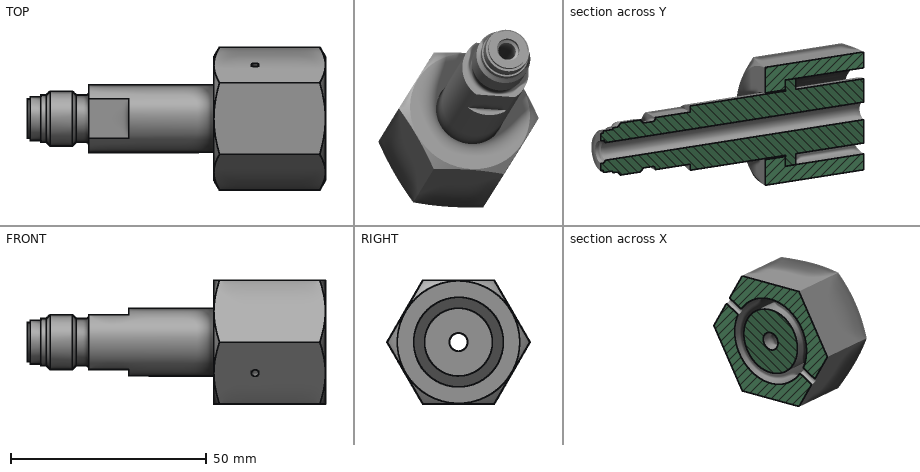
import cadquery as cq
import math

total_length = 76.5

nut_start = 47.75
nut_length = total_length - nut_start
nut_across_flats = 31.75
nut_across_corners = nut_across_flats / math.cos(math.radians(30))
nut_face_radius = 15.7
nut_bevel_angle = 30
vent_diameter = 1.9
vent_position = 58.4
vent_angle = 30

shank_start = 15.75
shank_radius = 8.7
flat_width = 14.1
flat_length = 10.2

shank_clearance = 0.2
nut_back_wall = 6.0
collar_start = nut_start + nut_back_wall
collar_length = 3.0
collar_radius = 11.5

nose_radius = 5.05
nose_length = 0.75
pilot_radius = 5.65
pilot_end = 3.5
neck_radius = 6.1
thread_start = 4.9
thread_radius = 7.05
thread_end = 12.5
thread_chamfer = thread_radius - neck_radius
neck_fillet = 0.6

passage_radius = 2.3
mouth_radius = 2.95
mouth_depth = 0.95
mouth_cone_half_angle = 59
mouth_cone_length = (mouth_radius - passage_radius) / math.tan(math.radians(mouth_cone_half_angle))


def cylinder_along_x(radius, start, end):
    return cq.Workplane("YZ", origin=(start, 0, 0)).circle(radius).extrude(end - start)


def hex_prism():
    return (
        cq.Workplane("YZ", origin=(nut_start, 0, 0))
        .polygon(6, nut_across_corners)
        .extrude(nut_length)
    )


def bevelled_envelope():
    """Turned shape that bevels the six corners of the nut at both ends."""
    corner_radius = nut_across_corners / 2
    bevel_length = (corner_radius - nut_face_radius) * math.tan(math.radians(nut_bevel_angle))
    return (
        cq.Workplane("XY")
        .moveTo(nut_start, 0)
        .lineTo(nut_start, nut_face_radius)
        .lineTo(nut_start + bevel_length, corner_radius)
        .lineTo(total_length - bevel_length, corner_radius)
        .lineTo(total_length, nut_face_radius)
        .lineTo(total_length, 0)
        .close()
        .revolve(360, (0, 0, 0), (1, 0, 0))
    )


def vent_hole():
    """Cross hole through both walls of the nut."""
    return (
        cq.Workplane("XZ", origin=(vent_position, 0, 0))
        .circle(vent_diameter / 2)
        .extrude(nut_across_corners / 2, both=True)
        .rotate((0, 0, 0), (1, 0, 0), vent_angle)
    )


def make_nut():
    shank_bore = cylinder_along_x(shank_radius + shank_clearance, nut_start, total_length)
    cavity = cylinder_along_x(collar_radius, collar_start, total_length)
    return hex_prism().intersect(bevelled_envelope()).cut(shank_bore).cut(cavity).cut(vent_hole())


def turned_stem():
    fillet_start = shank_start - neck_fillet
    fillet_diagonal = neck_fillet * math.sqrt(0.5)
    collar_end = collar_start + collar_length
    return (
        cq.Workplane("XY")
        .moveTo(0, mouth_radius)
        .lineTo(0, nose_radius)
        .lineTo(nose_length, nose_radius)
        .lineTo(nose_length, pilot_radius)
        .lineTo(pilot_end, pilot_radius)
        .lineTo(pilot_end, neck_radius)
        .lineTo(thread_start, neck_radius)
        .lineTo(thread_start + thread_chamfer, thread_radius)
        .lineTo(thread_end - thread_chamfer, thread_radius)
        .lineTo(thread_end, neck_radius)
        .lineTo(fillet_start, neck_radius)
        .threePointArc(
            (fillet_start + fillet_diagonal, neck_radius + neck_fillet - fillet_diagonal),
            (shank_start, neck_radius + neck_fillet),
        )
        .lineTo(shank_start, shank_radius)
        .lineTo(collar_start, shank_radius)
        .lineTo(collar_start, collar_radius)
        .lineTo(collar_end, collar_radius)
        .lineTo(collar_end, shank_radius)
        .lineTo(total_length, shank_radius)
        .lineTo(total_length, passage_radius)
        .lineTo(mouth_depth + mouth_cone_length, passage_radius)
        .lineTo(mouth_depth, mouth_radius)
        .close()
        .revolve(360, (0, 0, 0), (1, 0, 0))
    )


def make_stem():
    stem = turned_stem()
    flat_depth = shank_radius - flat_width / 2
    flat_center_x = shank_start + flat_length / 2
    flat_center_z = (flat_width + flat_depth) / 2
    for side in (1, -1):
        flat = cq.Workplane("XY").box(flat_length, 2 * shank_radius, flat_depth)
        stem = stem.cut(flat.translate((flat_center_x, 0, side * flat_center_z)))
    return stem


nut = make_nut()
stem = make_stem()

result = cq.Compound.makeCompound([nut.val(), stem.val()])